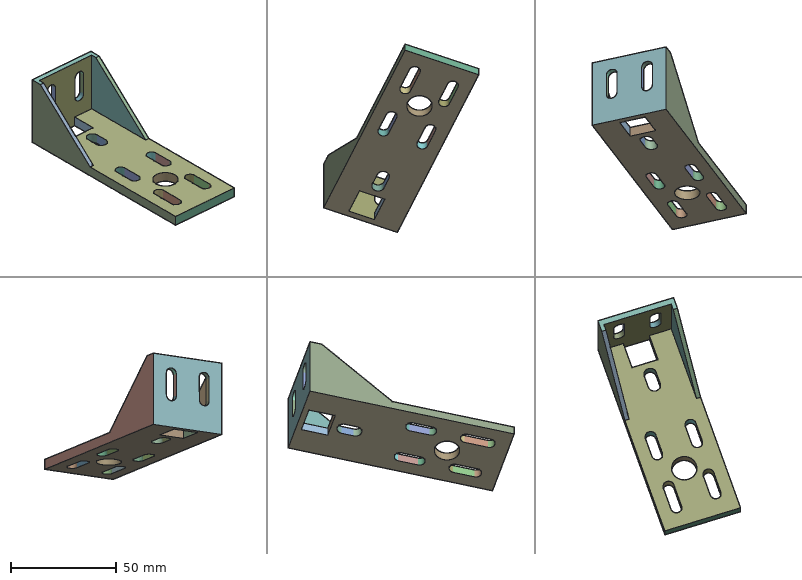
import cadquery as cq

LENGTH = 101.0
WIDTH = 38.0
HEIGHT = 35.0

PLATE_THICKNESS = 4.9
END_WALL_THICKNESS = 2.8
GUSSET_THICKNESS = 2.1
GUSSET_TOP_LENGTH = 5.9
GUSSET_LENGTH = 40.8

HOLE_DIAMETER = 12.0
HOLE_X = 73.1
WINDOW_SIZE = 13.0
WINDOW_Y = -0.6

CENTRE_SLOT_START = 18.9
CENTRE_SLOT_END = 30.9
CENTRE_SLOT_WIDTH = 6.0
MOUNT_SLOT_WIDTH = 5.3
MOUNT_SLOT_Y = 10.0
INNER_SLOT_START = 50.0
INNER_SLOT_END = 65.0
OUTER_SLOT_START = 77.1
LEFT_OUTER_SLOT_END = 92.9
RIGHT_OUTER_SLOT_END = 93.9

WALL_SLOT_WIDTH = 5.5
WALL_SLOTS = [
    (9.0, 12.9, 29.0),
    (-9.2, 12.8, 29.2),
]


def bracket_body():
    """Side profile extruded across the width, hollowed between the gussets."""
    profile = [
        (0, 0),
        (LENGTH, 0),
        (LENGTH, PLATE_THICKNESS),
        (GUSSET_LENGTH, PLATE_THICKNESS),
        (GUSSET_TOP_LENGTH, HEIGHT),
        (0, HEIGHT),
    ]
    body = cq.Workplane("XZ").polyline(profile).close().extrude(WIDTH / 2, both=True)
    cavity = cq.Workplane("XY").box(
        LENGTH, WIDTH - 2 * GUSSET_THICKNESS, HEIGHT, centered=(False, True, False)
    )
    return body.cut(cavity.translate((END_WALL_THICKNESS, 0, PLATE_THICKNESS)))


def plate_slot(start_x, end_x, y, width):
    """Cutter for a round-ended slot along X through the plate."""
    return (
        cq.Workplane("XY")
        .center((start_x + end_x) / 2, y)
        .slot2D(end_x - start_x, width)
        .extrude(PLATE_THICKNESS)
    )


def wall_slot(y, bottom_z, top_z):
    """Cutter for a round-ended vertical slot through the end wall."""
    return (
        cq.Workplane("YZ")
        .center(y, (bottom_z + top_z) / 2)
        .slot2D(top_z - bottom_z, WALL_SLOT_WIDTH, angle=90)
        .extrude(END_WALL_THICKNESS)
    )


result = bracket_body()

hole = cq.Workplane("XY").center(HOLE_X, 0).circle(HOLE_DIAMETER / 2).extrude(PLATE_THICKNESS)
result = result.cut(hole)

window = cq.Workplane("XY").box(
    WINDOW_SIZE, WINDOW_SIZE, PLATE_THICKNESS, centered=(False, True, False)
)
result = result.cut(window.translate((END_WALL_THICKNESS, WINDOW_Y, 0)))

result = result.cut(plate_slot(CENTRE_SLOT_START, CENTRE_SLOT_END, 0, CENTRE_SLOT_WIDTH))
for slot_y, outer_end in [
    (MOUNT_SLOT_Y, LEFT_OUTER_SLOT_END),
    (-MOUNT_SLOT_Y, RIGHT_OUTER_SLOT_END),
]:
    result = result.cut(plate_slot(INNER_SLOT_START, INNER_SLOT_END, slot_y, MOUNT_SLOT_WIDTH))
    result = result.cut(plate_slot(OUTER_SLOT_START, outer_end, slot_y, MOUNT_SLOT_WIDTH))

for slot_y, bottom_z, top_z in WALL_SLOTS:
    result = result.cut(wall_slot(slot_y, bottom_z, top_z))